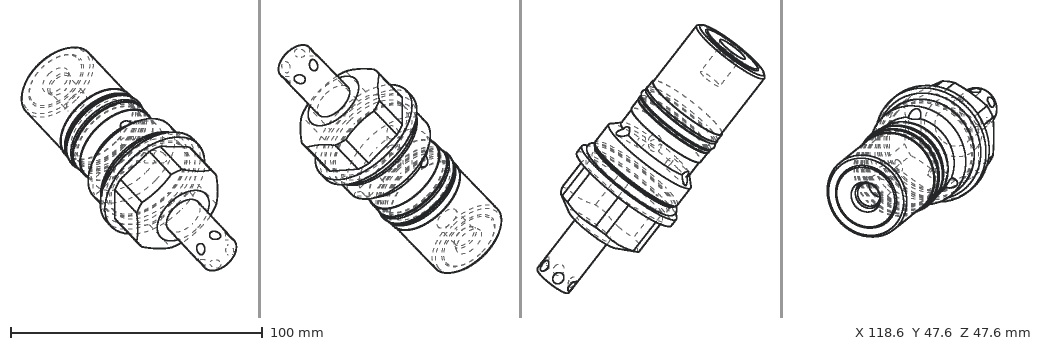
import cadquery as cq
import math


total_length = 118.62
flange_radius = 23.81

rim_radius = 16.1
disc_radius = 13.1
disc_height = 0.4
disc_taper = 0.65
nose_chamfer = 0.95
nose_radius = 17.1

band_radius = 17.46
band_start = 29.8
band_end = 43.8
ridge_radius = 17.65
front_ridge_start = 33.1
front_groove_start = 34.1
front_groove_end = 37.6
rear_ridge_end = 38.65
relief_end = 39.05

front_ring_radius = 18.15
front_ring_section = 1.35
front_groove_radius = front_ring_radius - 2 * front_ring_section
front_ring_x = (front_groove_start + front_groove_end) / 2

shoulder_radius = 20.66
shoulder_start = 54.5
shoulder_end = 63.45
cone_end_radius = 20.2
cone_end = 54.1
cone_start = cone_end - (cone_end_radius - nose_radius)
shoulder_chamfer_length = 0.75
shoulder_chamfer_depth = 0.35

flange_start = 68.0
flange_end = 71.35
rear_ring_radius = 22.1
rear_ring_section = 1.65
rear_ring_x = flange_start - rear_ring_section
rear_groove_radius = rear_ring_radius - 2 * rear_ring_section

hex_sides = 6
across_flats = 38.1
hex_corner_radius = shoulder_radius
hex_end = 91.75
hex_end_radius = 12.4
hex_cone_angle = 30
hex_cone_length = (hex_corner_radius - hex_end_radius) * math.tan(math.radians(hex_cone_angle))

stem_radius = 8.0
stem_end_fillet = 0.9
dimple_count = 6
dimple_x = 114.65
dimple_depth = 2.4

cross_hole_count = 3
cross_hole_diameter = 5.0
cross_hole_x = 51.25
cross_hole_floor = 8.0

port_mouth_radius = 6.25
port_taper_radius = 5.5
port_taper_depth = 2.6
port_bore_radius = 4.82
port_bore_start = 3.2
port_depth = 15.0


def turned(points):
    """Revolve a closed (x, radius) outline about the X axis."""
    return cq.Workplane("XY").polyline(points).close().revolve(360, (0, 0, 0), (1, 0, 0))


def make_o_ring(x, outer_radius, section_radius):
    centre_radius = outer_radius - section_radius
    return cq.Workplane(cq.Solid.makeTorus(
        centre_radius, section_radius,
        pnt=cq.Vector(x, 0, 0), dir=cq.Vector(1, 0, 0),
    ))


def make_front_body():
    return turned([
        (0, 0),
        (0, disc_radius - disc_taper),
        (disc_height, disc_radius),
        (disc_height, rim_radius),
        (disc_height + nose_chamfer, nose_radius),
        (band_start, nose_radius),
        (band_start, band_radius),
        (front_ridge_start, band_radius),
        (front_ridge_start, ridge_radius),
        (front_groove_start, ridge_radius),
        (front_groove_start, front_groove_radius),
        (front_groove_end, front_groove_radius),
        (front_groove_end, ridge_radius),
        (rear_ridge_end, ridge_radius),
        (rear_ridge_end, front_groove_radius),
        (relief_end, front_groove_radius),
        (relief_end, band_radius),
        (band_end, band_radius),
        (band_end, nose_radius),
        (cone_start, nose_radius),
        (cone_end, cone_end_radius),
        (shoulder_start, shoulder_radius),
        (shoulder_end, shoulder_radius),
        (shoulder_end + shoulder_chamfer_length, shoulder_radius - shoulder_chamfer_depth),
        (rear_ring_x - rear_ring_section, rear_groove_radius),
        (flange_start, rear_groove_radius),
        (flange_start, flange_radius),
        (flange_end, flange_radius),
        (flange_end, 0),
    ])


def make_hexagon():
    prism = (
        cq.Workplane("YZ", origin=(flange_end, 0, 0))
        .polygon(hex_sides, across_flats / math.cos(math.pi / hex_sides))
        .extrude(hex_end - flange_end)
        .rotate((0, 0, 0), (1, 0, 0), 180 / hex_sides)
    )
    envelope = turned([
        (flange_end, 0),
        (flange_end, hex_corner_radius),
        (hex_end - hex_cone_length, hex_corner_radius),
        (hex_end, hex_end_radius),
        (hex_end, 0),
    ])
    return prism.intersect(envelope)


def make_stem():
    stem = cq.Workplane("YZ", origin=(hex_end, 0, 0)).circle(stem_radius).extrude(total_length - hex_end)
    return stem.faces(">X").edges().fillet(stem_end_fillet)


def make_port():
    return turned([
        (0, 0),
        (0, port_mouth_radius),
        (port_taper_depth, port_taper_radius),
        (port_bore_start, port_bore_radius),
        (port_depth, port_bore_radius),
        (port_depth, 0),
    ])


def cut_around(body, cutter, count):
    """Cut copies of an upward-facing cutter, evenly spaced about the X axis."""
    for index in range(count):
        body = body.cut(cutter.rotate((0, 0, 0), (1, 0, 0), index * 360 / count))
    return body


def make_housing():
    cross_hole = (
        cq.Workplane("XY", origin=(cross_hole_x, 0, cross_hole_floor))
        .circle(cross_hole_diameter / 2)
        .extrude(shoulder_radius - cross_hole_floor)
    )
    dimple = cq.Workplane(cq.Solid.makeCone(
        0, 2 * dimple_depth, 2 * dimple_depth,
        pnt=cq.Vector(dimple_x, 0, stem_radius - dimple_depth),
    ))
    body = make_front_body().union(make_hexagon()).union(make_stem()).cut(make_port())
    body = cut_around(body, cross_hole, cross_hole_count)
    return cut_around(body, dimple, dimple_count)


housing = make_housing()
front_o_ring = make_o_ring(front_ring_x, front_ring_radius, front_ring_section)
rear_o_ring = make_o_ring(rear_ring_x, rear_ring_radius, rear_ring_section)

result = cq.Compound.makeCompound([*housing.solids().vals(), front_o_ring.val(), rear_o_ring.val()])